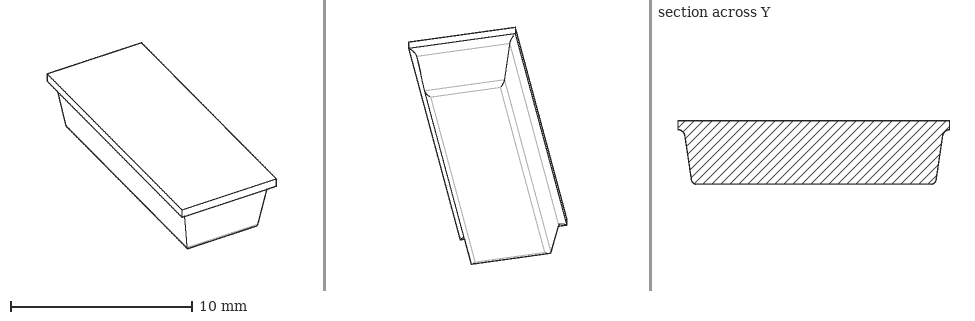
import cadquery as cq

plate_length = 14.99
plate_width = 5.99
plate_thickness = 0.5

total_height = 3.51
body_height = total_height - plate_thickness
plate_overhang = 0.335
draft_angle = 8.5
body_top_length = plate_length - 2 * plate_overhang
body_top_width = plate_width - 2 * plate_overhang

root_fillet = 0.38
bottom_fillet = 0.3


def make_plate():
    """Flat rectangular plate standing on Z = 0."""
    return cq.Workplane("XY").box(
        plate_length, plate_width, plate_thickness, centered=(True, True, False)
    )


def make_body():
    """Four-sided drafted block hanging below Z = 0, with a rounded bottom rim."""
    body = (
        cq.Workplane("XY")
        .rect(body_top_length, body_top_width)
        .extrude(-body_height, taper=draft_angle)
    )
    return body.faces("<Z").edges().fillet(bottom_fillet)


def fillet_root(part):
    """Round the four inside edges where the body walls meet the plate."""
    half_x = (body_top_length + plate_overhang) / 2
    half_y = (body_top_width + plate_overhang) / 2
    half_z = plate_thickness / 2
    root_zone = cq.selectors.BoxSelector(
        (-half_x, -half_y, -half_z), (half_x, half_y, half_z), boundingbox=True
    )
    return part.edges(root_zone).fillet(root_fillet)


result = fillet_root(make_plate().union(make_body()))